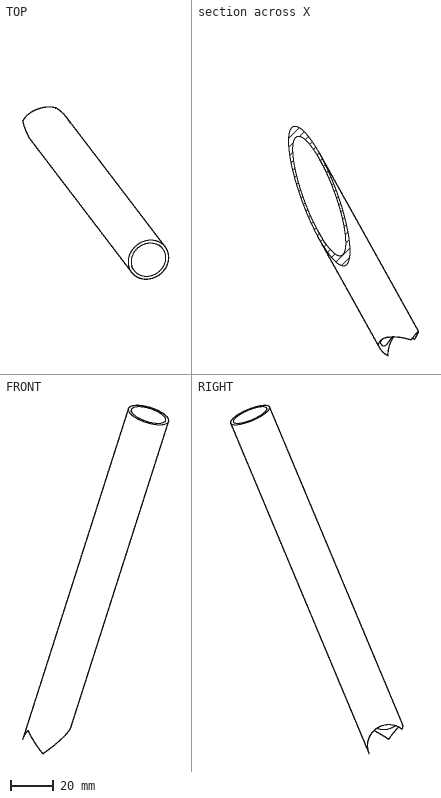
import cadquery as cq

TUBE_DIAMETER = 20.0
WALL = 1.5
BAR_DIAMETER = TUBE_DIAMETER

LEG_RUN_X = 50.0
LEG_RUN_Y = -65.6
LEG_RISE = 156.5
leg_vector = cq.Vector(LEG_RUN_X, LEG_RUN_Y, LEG_RISE)
leg_length = leg_vector.Length
leg_direction = leg_vector.normalized()

blank_overrun = 2 * TUBE_DIAMETER
bore_overrun = TUBE_DIAMETER
bar_reach = 3 * TUBE_DIAMETER


def cylinder(diameter, direction, start, end):
    """A cylinder along `direction`, between two signed distances from the node."""
    return cq.Workplane(cq.Solid.makeCylinder(diameter / 2, end - start, direction * start, direction))


def tube_blank():
    """The straight tube, squared off at the upper end and running on past the node below."""
    outside = cylinder(TUBE_DIAMETER, leg_direction, -blank_overrun, leg_length)
    bore_diameter = TUBE_DIAMETER - 2 * WALL
    bore = cylinder(bore_diameter, leg_direction, -blank_overrun - bore_overrun, leg_length + bore_overrun)
    return outside.cut(bore)


def miter_half(side):
    """The half space beside the upright plane x = y: side +1 holds +X, side -1 holds +Y."""
    size = 4 * bar_reach
    half = cq.Workplane("XY").box(size, size, size).translate((side * size / 2, 0, 0))
    return half.rotate((0, 0, 0), (0, 0, 1), -45)


def mitered_bar(direction, side):
    """One horizontal bar, running out along `direction` and ending on the miter plane."""
    return cylinder(BAR_DIAMETER, direction, -bar_reach, bar_reach).intersect(miter_half(side))


def bar_corner():
    """The mitered corner of the +X and +Y bars, against which the foot of the leg is coped."""
    bar_x = mitered_bar(cq.Vector(1, 0, 0), 1)
    bar_y = mitered_bar(cq.Vector(0, 1, 0), -1)
    return bar_x.union(bar_y)


result = tube_blank().cut(bar_corner()).solids(">Z")